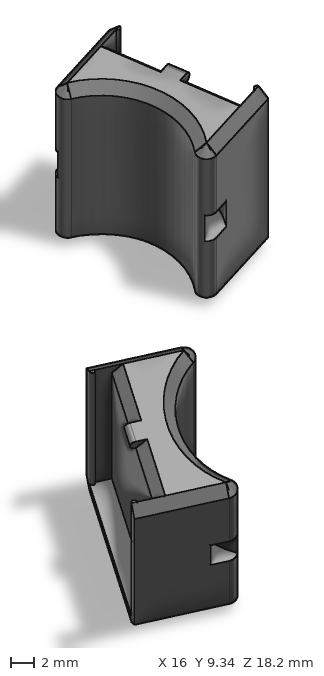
import cadquery as cq
import math

width = 16.0
depth = 9.34
height = 18.2

wall = 1.0
half_width = width / 2
lip_x = half_width - wall

bore_radius = 8.0
bore_y = wall - math.sqrt((bore_radius + wall) ** 2 - lip_x**2)

channel_inner_radius = 8.8
channel_outer_radius = 10.81
channel_height = 3.0

block_back_y = 7.35
floor_thickness = wall

tab_width = 1.98
tab_radius = 0.51
bead_radius = 0.25


def tapered_revolution(middle_radius, end_radius, x, y):
    """Full-height round whose radius changes to end_radius over the end chamfers."""
    bottom = cq.Solid.makeCone(end_radius, middle_radius, wall)
    middle = cq.Solid.makeCylinder(middle_radius, height - 2 * wall, cq.Vector(0, 0, wall))
    top = cq.Solid.makeCone(middle_radius, end_radius, wall, cq.Vector(0, 0, height - wall))
    round_body = cq.Workplane(bottom).union(cq.Workplane(middle)).union(cq.Workplane(top))
    return round_body.rotate((0, 0, 0), (0, 0, 1), 90).translate((x, y, 0))


def saddle_body():
    """Block with chamfered ends, a concave front and rounded lips."""
    plan = (
        cq.Workplane("XY")
        .polyline([
            (-half_width, depth),
            (-half_width, wall),
            (-lip_x, wall),
            (0, bore_y),
            (lip_x, wall),
            (half_width, wall),
            (half_width, depth),
        ])
        .close()
        .extrude(height)
    )
    elevation = (
        cq.Workplane("XZ", origin=(0, depth, 0))
        .center(0, height / 2)
        .rect(width, height)
        .extrude(depth - bore_y)
        .edges("|Y")
        .chamfer(wall)
    )
    body = plan.intersect(elevation)
    body = body.cut(tapered_revolution(bore_radius, bore_radius + wall, 0, bore_y))
    for side in (-1, 1):
        body = body.union(tapered_revolution(wall, 0, side * lip_x, wall))
    return body


def rear_space():
    """Recess above the floor, with its top front edge chamfered."""
    return (
        cq.Workplane("YZ", origin=(-lip_x, 0, 0))
        .polyline([
            (depth, floor_thickness),
            (block_back_y, floor_thickness),
            (block_back_y, height - wall),
            (block_back_y - wall, height),
            (depth, height),
        ])
        .close()
        .extrude(2 * lip_x)
    )


def strap_channel():
    return (
        cq.Workplane("XY", origin=(0, bore_y, (height - channel_height) / 2))
        .circle(channel_outer_radius)
        .circle(channel_inner_radius)
        .extrude(channel_height)
    )


def tab():
    """Tab flush with the top face, with a half-round nose."""
    root_y = block_back_y - wall
    return (
        cq.Workplane("YZ", origin=(-tab_width / 2, 0, 0))
        .moveTo(root_y, height)
        .lineTo(block_back_y, height)
        .threePointArc(
            (block_back_y + tab_radius, height - tab_radius),
            (block_back_y, height - 2 * tab_radius),
        )
        .lineTo(root_y, height - 2 * tab_radius)
        .close()
        .extrude(tab_width)
    )


def snap_bead(side):
    """Half-round bead along the inner rear edge of one side wall."""
    bead_y = depth - bead_radius
    return (
        cq.Workplane("XY", origin=(0, 0, floor_thickness))
        .moveTo(side * lip_x, bead_y - bead_radius)
        .threePointArc((side * (lip_x - bead_radius), bead_y), (side * lip_x, depth))
        .close()
        .extrude(height - floor_thickness)
    )


result = saddle_body().cut(rear_space()).cut(strap_channel()).union(tab())
for wall_side in (-1, 1):
    result = result.union(snap_bead(wall_side))